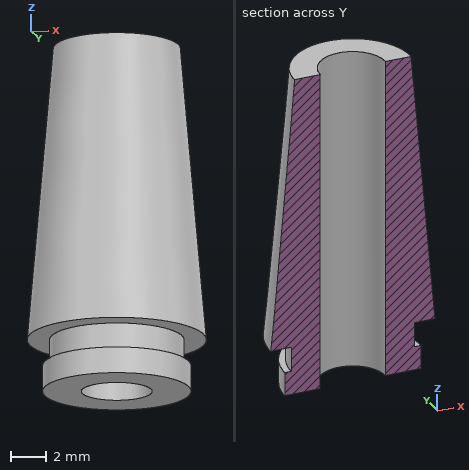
import cadquery as cq

total_height = 20.0
bore_diameter = 4.0

flange_diameter = 8.4
flange_height = 1.5
groove_diameter = 7.6
groove_height = 1.5

body_base_diameter = 10.15
body_top_diameter = 7.2
body_base_z = flange_height + groove_height

outer_profile = (
    cq.Workplane("XZ")
    .moveTo(0, 0)
    .lineTo(flange_diameter / 2, 0)
    .lineTo(flange_diameter / 2, flange_height)
    .lineTo(groove_diameter / 2, flange_height)
    .lineTo(groove_diameter / 2, body_base_z)
    .lineTo(body_base_diameter / 2, body_base_z)
    .lineTo(body_top_diameter / 2, total_height)
    .lineTo(0, total_height)
    .close()
)
body = outer_profile.revolve(360, (0, 0, 0), (0, 1, 0))

bore = cq.Workplane("XY").circle(bore_diameter / 2).extrude(total_height)

result = body.cut(bore)